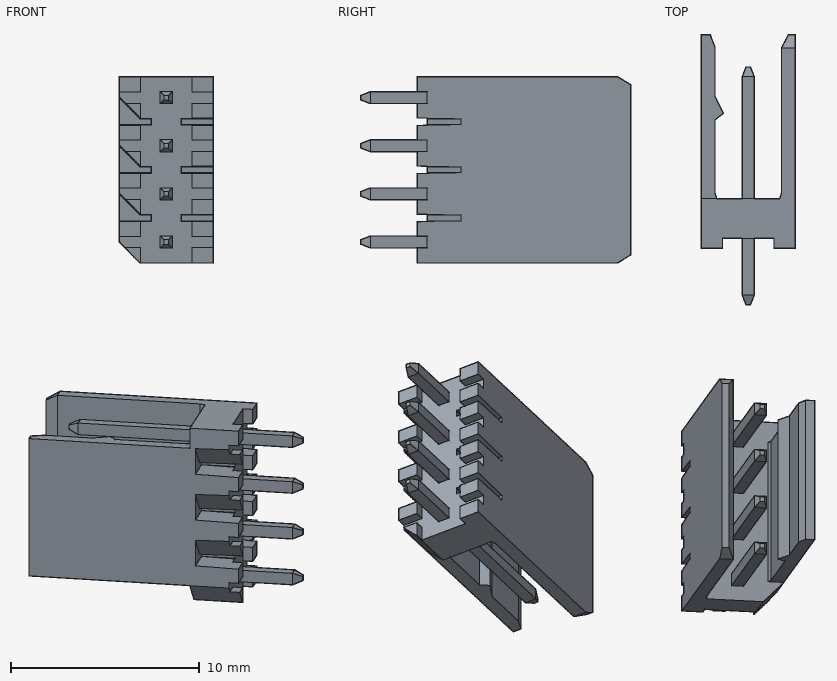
import cadquery as cq
import math


pin_count = 4
pitch = 2.55
first_pin_z = -(pin_count - 1) * pitch / 2
pin_rows = [first_pin_z + row * pitch for row in range(pin_count)]

pin_size = 0.65
tip_size = 0.25
tip_length = 0.51
tail_end_y = -2.99
mating_end_y = 9.61

width = 4.99
end_margin = 1.12
height = (pin_count - 1) * pitch + 2 * end_margin
half_width = width / 2
half_height = height / 2
open_end_y = 11.31
base_top_y = 2.63

wall = 0.75
wall_inner_x = half_width - wall
root_chamfer_x = 0.1
root_chamfer_y = 0.29
latch_wall_tip_x = 0.26
latch_wall_tip_y = 0.66
plain_wall_tip_x = 0.37
plain_wall_tip_y = 0.7
corner_chamfer_z = 0.43

nub_start_y = 6.8
nub_peak_y = 7.15
nub_end_y = 8.04
nub_height = 0.45

foot_height = 0.53
foot_inner_x = 1.36
foot_gap = 0.6

slot_depth = 2.33
slot_floor_width = 0.3
slot_inner_x = 0.82
slot_draft = 0.05
slot_taper = math.degrees(math.atan(slot_draft / slot_depth))

key_width = 1.1
key_height = end_margin

overrun = 0.29


def box(x_range, y_range, z_range):
    """Axis-aligned box between pairs of coordinates."""
    size = [end - start for start, end in (x_range, y_range, z_range)]
    corner = (x_range[0], y_range[0], z_range[0])
    return cq.Workplane("XY").box(*size, centered=False).translate(corner)


def extrude_along_z(points, z_height):
    """Outline in X and Y, extruded evenly to both sides of Z = 0."""
    return cq.Workplane("XY").polyline(points).close().extrude(z_height / 2, both=True)


def base():
    """Block across the bottom of the housing that carries the pins."""
    return box((-half_width, half_width), (0, base_top_y), (-half_height, half_height))


def latch_wall():
    """-X wall with the latch nub, reaching from the first pin row to the last."""
    outline = [
        (-half_width, base_top_y),
        (-wall_inner_x + root_chamfer_x, base_top_y),
        (-wall_inner_x, base_top_y + root_chamfer_y),
        (-wall_inner_x, nub_start_y),
        (-wall_inner_x + nub_height, nub_peak_y),
        (-wall_inner_x, nub_end_y),
        (-wall_inner_x, open_end_y - latch_wall_tip_y),
        (-wall_inner_x - latch_wall_tip_x, open_end_y),
        (-half_width, open_end_y),
    ]
    return extrude_along_z(outline, pin_rows[-1] - pin_rows[0])


def plain_wall():
    """+X wall over the full height, sloped at the tip and at both tip corners."""
    outline = [
        (half_width, base_top_y),
        (wall_inner_x - root_chamfer_x, base_top_y),
        (wall_inner_x, base_top_y + root_chamfer_y),
        (wall_inner_x, open_end_y - plain_wall_tip_y),
        (wall_inner_x + plain_wall_tip_x, open_end_y),
        (half_width, open_end_y),
    ]
    side_outline = [
        (base_top_y, -half_height),
        (open_end_y - plain_wall_tip_y, -half_height),
        (open_end_y, -half_height + corner_chamfer_z),
        (open_end_y, half_height - corner_chamfer_z),
        (open_end_y - plain_wall_tip_y, half_height),
        (base_top_y, half_height),
    ]
    side = cq.Workplane("YZ").polyline(side_outline).close().extrude(half_width)
    return extrude_along_z(outline, height).intersect(side)


def foot_channels():
    """Channel along the pin row and cross channels at every pin."""
    y_range = (-overrun, foot_height)
    across = (-half_width - overrun, half_width + overrun)
    cutter = box((-foot_inner_x, foot_inner_x), y_range, (-half_height - overrun, half_height + overrun))
    for z in pin_rows:
        cutter = cutter.union(box(across, y_range, (z - foot_gap / 2, z + foot_gap / 2)))
    return cutter


def drafted_pocket(floor_outline):
    """Pocket cutter that widens from its floor to the seating plane."""
    floor = cq.Workplane("XZ", origin=(0, slot_depth, 0))
    return floor.polyline(floor_outline).close().extrude(slot_depth, taper=-slot_taper)


def slot_pair(pin_z):
    """Slots in both sides below a pin, the -X one opened up by a sloping key face."""
    outer_x = half_width + overrun
    slot_bottom = pin_z - pitch / 2 - slot_floor_width / 2
    slot_top = slot_bottom + slot_floor_width
    key_slope = key_height / key_width
    key_end_x = -half_width + (pin_z - slot_top) / key_slope
    key_start_z = pin_z + overrun * key_slope
    keyed_slot = [
        (-outer_x, slot_bottom),
        (-slot_inner_x, slot_bottom),
        (-slot_inner_x, slot_top),
        (key_end_x, slot_top),
        (-outer_x, key_start_z),
    ]
    plain_slot = [
        (slot_inner_x, slot_bottom),
        (outer_x, slot_bottom),
        (outer_x, slot_top),
        (slot_inner_x, slot_top),
    ]
    return drafted_pocket(keyed_slot).union(drafted_pocket(plain_slot))


def bottom_corner():
    """Sloping cut along the lower -X edge of the base."""
    outline = [
        (-half_width, -half_height),
        (-half_width + key_width, -half_height),
        (-half_width, -half_height + key_height),
    ]
    return cq.Workplane("XZ").polyline(outline).close().extrude(-base_top_y)


def pin_holes():
    """Square through holes that the pins fill."""
    holes = cq.Workplane("XZ").pushPoints([(0, z) for z in pin_rows])
    return holes.rect(pin_size, pin_size).extrude(-base_top_y)


def make_housing():
    body = base().union(latch_wall()).union(plain_wall())
    body = body.cut(foot_channels()).cut(bottom_corner()).cut(pin_holes())
    for z in pin_rows[1:]:
        body = body.cut(slot_pair(z))
    return body


def pin_tip(shoulder_y, end_y):
    """Square pyramid frustum from the pin shank to its blunt end."""
    shoulder = cq.Workplane("XZ", origin=(0, shoulder_y, 0)).rect(pin_size, pin_size)
    return shoulder.workplane(offset=shoulder_y - end_y).rect(tip_size, tip_size).loft(ruled=True)


def make_pin(z):
    tail_shoulder_y = tail_end_y + tip_length
    mating_shoulder_y = mating_end_y - tip_length
    half_size = pin_size / 2
    side = (-half_size, half_size)
    pin = box(side, (tail_shoulder_y, mating_shoulder_y), side)
    pin = pin.union(pin_tip(tail_shoulder_y, tail_end_y))
    pin = pin.union(pin_tip(mating_shoulder_y, mating_end_y))
    return pin.translate((0, 0, z))


housing = make_housing()
pins = [make_pin(z) for z in pin_rows]

result = cq.Compound.makeCompound([housing.val(), *[pin.val() for pin in pins]])